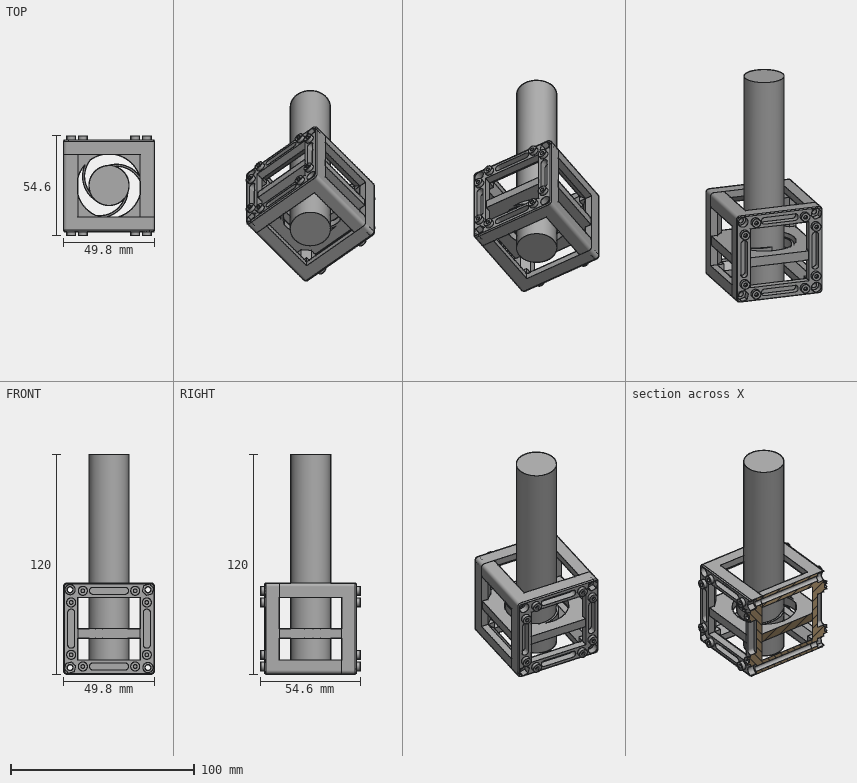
import cadquery as cq
import math

CAGE_WIDTH = 49.8
CAGE_DEPTH = 50.2
WINDOW = 34.0
BAR_CHAMFER = 4.0
LONG_EDGE_RADIUS = 2.0
FACE_BEVEL_INSET = 0.5
FACE_BEVEL_DEPTH = 0.8

HALF_WIDTH = CAGE_WIDTH / 2
HALF_DEPTH = CAGE_DEPTH / 2
HALF_WINDOW = WINDOW / 2
BAR_WIDTH = HALF_WIDTH - HALF_WINDOW
FRAME_DEPTH = HALF_DEPTH - HALF_WINDOW
CHAMBER = WINDOW + 2 * BAR_CHAMFER

HEAD_DIAMETER = 4.9
HEAD_HEIGHT = 2.2
SOCKET_DIAMETER = 2.0
SOCKET_DEPTH = 1.5
BAR_LINE = 20.6
HEAD_SPACING = 28.6
SLOT_WIDTH = 3.8
SLOT_LENGTH = 21.4
RECESS_DEPTH = 4.0
BOLT_OFFSET = 21.2
BOLT_HOLE_DIAMETER = 3.1
BOLT_HEAD_DIAMETER = 5.5
NUT_FLATS = 5.5
NUT_TURN = 15.0

ROD_DIAMETER = 22.0
ROD_LENGTH = 120.0
ROD_Y = 0.16

PLATE_SPAN = 48.7
PLATE_THICKNESS = 5.3
PLATE_TOP = 0.0
OPENING_DIAMETER = 35.0
OPENING_Y = -0.18
ARM_COUNT = 3
ARM_RADIUS = 15.0
ARM_WIDTH = 1.2
ARM_CENTRE_OFFSET = 5.4
ARM_CENTRE_ANGLE = 78.0
ARM_OUTER_END = 124.0
ARM_INNER_END = 270.0


def cage_envelope():
    """Outer block with rounded long edges and bevelled end faces."""
    block = cq.Workplane("XY").box(CAGE_WIDTH, CAGE_DEPTH, CAGE_WIDTH)
    block = block.edges("|Y").fillet(LONG_EDGE_RADIUS)
    return block.faces("<Y or >Y").chamfer(FACE_BEVEL_INSET, FACE_BEVEL_DEPTH)


def cage_hollow():
    """Windows along the three axes, each widened inside to bevel the bars along it."""
    hollow = cq.Workplane("XY")
    for plane, long_edges in (("YZ", "|X"), ("XZ", "|Y"), ("XY", "|Z")):
        window = cq.Workplane(plane).rect(WINDOW, WINDOW).extrude(CAGE_DEPTH, both=True)
        chamber = cq.Workplane(plane).rect(CHAMBER, CHAMBER).extrude(HALF_WINDOW, both=True)
        hollow = hollow.add(window).add(chamber.edges(long_edges).chamfer(BAR_CHAMFER))
    return hollow.combine()


def long_bar(x_side, z_side):
    """Region of the bar along Y at one corner, between the two end frames."""
    centre = HALF_WINDOW + BAR_WIDTH / 2
    bar = cq.Workplane("XY").box(BAR_WIDTH, WINDOW, BAR_WIDTH)
    return bar.translate((x_side * centre, 0, z_side * centre))


def half_region():
    """Front frame and the two long bars that belong to it."""
    frame = cq.Workplane("XY").box(CAGE_WIDTH, FRAME_DEPTH, CAGE_WIDTH)
    frame = frame.translate((0, -HALF_WINDOW - FRAME_DEPTH / 2, 0))
    return frame.union(long_bar(-1, 1)).union(long_bar(1, -1))


def front_face():
    """Workplane on the front face, its normal pointing out of the cage."""
    return cq.Workplane("XZ", origin=(0, -HALF_DEPTH, 0))


def cut_slots(half):
    """Closed slots along the four bars of the front face."""
    across = front_face().pushPoints([(0, BAR_LINE), (0, -BAR_LINE)]).slot2D(SLOT_LENGTH, SLOT_WIDTH)
    upright = front_face().pushPoints([(BAR_LINE, 0), (-BAR_LINE, 0)]).slot2D(SLOT_LENGTH, SLOT_WIDTH, 90)
    return half.cut(across.extrude(-RECESS_DEPTH)).cut(upright.extrude(-RECESS_DEPTH))


def cut_bolt_holes(half):
    """Corner bolt holes: counterbores over the half's own bars, nut pockets at the others."""
    head_corners = [(-BOLT_OFFSET, BOLT_OFFSET), (BOLT_OFFSET, -BOLT_OFFSET)]
    nut_corners = [(BOLT_OFFSET, BOLT_OFFSET), (-BOLT_OFFSET, -BOLT_OFFSET)]
    holes = front_face().pushPoints(head_corners + nut_corners).circle(BOLT_HOLE_DIAMETER / 2)
    counterbores = front_face().pushPoints(head_corners).circle(BOLT_HEAD_DIAMETER / 2)
    half = half.cut(holes.extrude(-CAGE_DEPTH)).cut(counterbores.extrude(-RECESS_DEPTH))
    for x, z in nut_corners:
        pocket = front_face().polygon(6, NUT_FLATS, circumscribed=True).extrude(-RECESS_DEPTH)
        pocket = pocket.rotate((0, 0, 0), (0, 1, 0), NUT_TURN)
        half = half.cut(pocket.translate((x, 0, z)))
    return half


def add_screw_heads(half):
    """Two socketed screw heads on each bar of the front face."""
    step = HEAD_SPACING / 2
    places = []
    for along in (-step, step):
        for across in (-BAR_LINE, BAR_LINE):
            places += [(along, across), (across, along)]
    heads = front_face().pushPoints(places).circle(HEAD_DIAMETER / 2).extrude(HEAD_HEIGHT)
    sockets = front_face().workplane(offset=HEAD_HEIGHT).pushPoints(places).circle(SOCKET_DIAMETER / 2)
    return half.union(heads).cut(sockets.extrude(-SOCKET_DEPTH))


def cage_half(turn):
    """One cage half; both are alike, turned about Z."""
    half = cage_envelope().intersect(half_region()).cut(cage_hollow())
    half = add_screw_heads(cut_bolt_holes(cut_slots(half)))
    return half.rotate((0, 0, 0), (0, 0, 1), turn)


def straight_rod():
    """Round rod standing level with the bottom of the cage."""
    base = cq.Workplane("XY", origin=(0, ROD_Y, -HALF_WIDTH))
    return base.circle(ROD_DIAMETER / 2).extrude(ROD_LENGTH)


def polar(radius, degrees):
    """Point at a distance and direction from the origin."""
    return (radius * math.cos(math.radians(degrees)), radius * math.sin(math.radians(degrees)))


def spring_arm(turn):
    """Arc-shaped arm about the opening's centre, from the opening's wall into the rod's place."""
    top = cq.Workplane("XY", origin=(0, OPENING_Y, PLATE_TOP))
    ring = top.center(*polar(ARM_CENTRE_OFFSET, ARM_CENTRE_ANGLE))
    ring = ring.circle(ARM_RADIUS + ARM_WIDTH / 2).circle(ARM_RADIUS - ARM_WIDTH / 2)
    ring = ring.extrude(-PLATE_THICKNESS)
    reach = 2 * OPENING_DIAMETER
    middle = (ARM_OUTER_END + ARM_INNER_END) / 2
    outline = [(0, 0)] + [polar(reach, angle) for angle in (ARM_OUTER_END, middle, ARM_INNER_END)]
    sector = top.polyline(outline).close().extrude(-PLATE_THICKNESS)
    arm = ring.intersect(sector)
    return arm.rotate((0, OPENING_Y, 0), (0, OPENING_Y, 1), turn)


def spring_plate():
    """Plate that fills the cage's cross-section and reaches into its four side windows."""
    top = cq.Workplane("XY", origin=(0, 0, PLATE_TOP))
    centre = top.rect(CHAMBER, CHAMBER).extrude(-PLATE_THICKNESS).edges("|Z").chamfer(BAR_CHAMFER)
    tabs_x = top.rect(PLATE_SPAN, WINDOW).extrude(-PLATE_THICKNESS)
    tabs_y = top.rect(WINDOW, PLATE_SPAN).extrude(-PLATE_THICKNESS)
    opening = top.center(0, OPENING_Y).circle(OPENING_DIAMETER / 2).extrude(-PLATE_THICKNESS)
    for index in range(ARM_COUNT):
        opening = opening.cut(spring_arm(index * 360 / ARM_COUNT))
    return centre.union(tabs_x).union(tabs_y).cut(opening).cut(straight_rod())


cage_halves = [cage_half(turn).solids().val() for turn in (0, 180)]
plate = spring_plate().solids().val()
rod = straight_rod().val()

result = cq.Compound.makeCompound([*cage_halves, plate, rod])